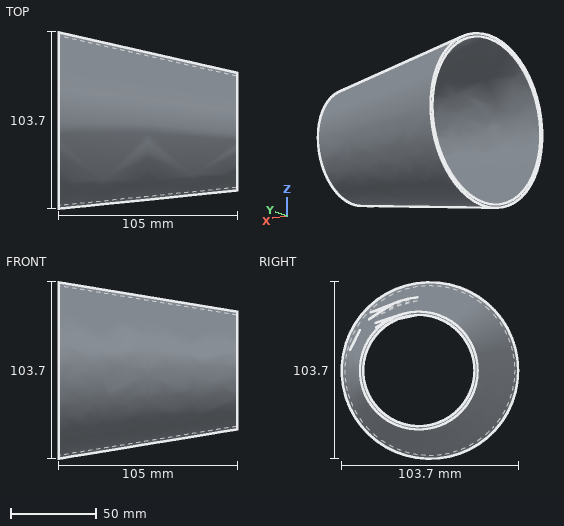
import cadquery as cq

length = 105.0
large_diameter = 103.7
small_diameter = 69.2
wall = 2.0
small_end_offset_y = -6.5


def oblique_cone(start_diameter, end_diameter):
    """Solid along +X lofted between two parallel circles with offset centres."""
    return (
        cq.Workplane("YZ")
        .circle(start_diameter / 2)
        .workplane(offset=length)
        .center(small_end_offset_y, 0)
        .circle(end_diameter / 2)
        .loft(ruled=True)
    )


outer_body = oblique_cone(large_diameter, small_diameter)
bore = oblique_cone(large_diameter - 2 * wall, small_diameter - 2 * wall)

result = outer_body.cut(bore)